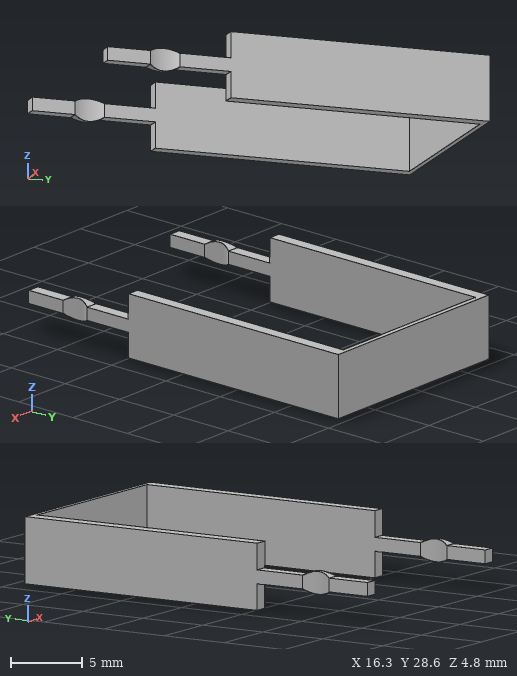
import cadquery as cq

width = 16.25
length = 28.58
height = 4.8

leg_thickness = 1.0
bridge_thickness = 0.4

pin_length = 9.2
pin_height = 1.0

crimp_length = 2.2
crimp_tip_distance = 3.2
crimp_neck = 0.38
crimp_height = 1.64

tip_y = -length / 2
shoulder_y = tip_y + pin_length
bridge_inner_y = length / 2 - bridge_thickness
crimp_start_y = tip_y + crimp_tip_distance
crimp_end_y = crimp_start_y + crimp_length
crimp_middle_y = (crimp_start_y + crimp_end_y) / 2
leg_x = (width - leg_thickness) / 2


def make_band():
    """Full-height U made of the bridge and the two wide legs."""
    band_length = length - pin_length
    block = cq.Workplane("XY").box(width, band_length, height)
    block = block.translate((0, shoulder_y + band_length / 2, 0))
    opening_length = bridge_inner_y - shoulder_y
    opening = cq.Workplane("XY").box(width - 2 * leg_thickness, opening_length, height)
    return block.cut(opening.translate((0, shoulder_y + opening_length / 2, 0)))


def crimped_outline(plane, side, crimp_size, point):
    """Pin outline whose long sides curve to crimp_size at the middle of the crimp.

    point(across, y) gives the sketch coordinates on the chosen plane.
    """
    half = side / 2
    half_crimp = crimp_size / 2
    return (
        cq.Workplane(plane)
        .moveTo(*point(-half, tip_y))
        .lineTo(*point(half, tip_y))
        .lineTo(*point(half, crimp_start_y))
        .threePointArc(point(half_crimp, crimp_middle_y), point(half, crimp_end_y))
        .lineTo(*point(half, shoulder_y))
        .lineTo(*point(-half, shoulder_y))
        .lineTo(*point(-half, crimp_end_y))
        .threePointArc(point(-half_crimp, crimp_middle_y), point(-half, crimp_start_y))
        .close()
    )


def make_pin():
    """Pin centred on X = 0: the pinched plan shape crossed with the bulged side shape."""
    plan = crimped_outline("XY", leg_thickness, crimp_neck, lambda across, y: (across, y))
    profile = crimped_outline("YZ", pin_height, crimp_height, lambda across, y: (y, across))
    pinched = plan.extrude(crimp_height, both=True)
    bulged = profile.extrude(leg_thickness, both=True)
    return pinched.intersect(bulged)


result = make_band()
for pin_x in (-leg_x, leg_x):
    result = result.union(make_pin().translate((pin_x, 0, 0)))